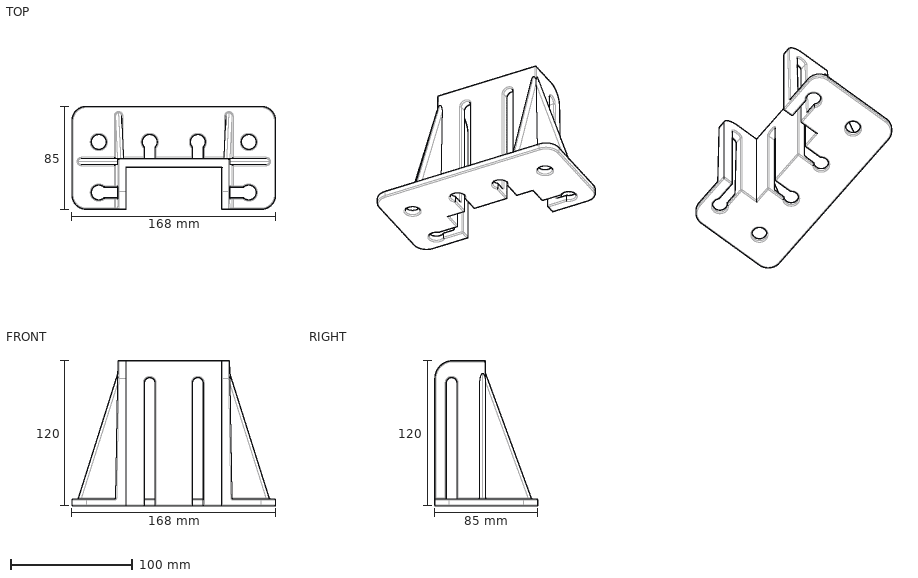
import cadquery as cq
import math

BASE_LENGTH = 168.0
BASE_DEPTH = 85.0
BASE_THICKNESS = 5.9
BASE_CORNER_RADIUS = 12.0

HEIGHT = 120.0
CHANNEL_WIDTH = 78.5
BACK_INNER_Y = 34.6
BACK_OUTER_Y = 42.0
TOP_HALF_WIDTH = 46.0
DRAFT_ANGLE = 1.0
ARM_TOP_RADIUS = 15.0

RIB_THICKNESS = 5.0
RIB_TOP_Z = 109.4
RIB_OVERLAP = 2.5
SIDE_RIB_FOOT_X = 79.0
REAR_RIB_FOOT_Y = 80.0
RIB_ROUND_SHARE = 0.499
RIB_ROUND_RADIUS = RIB_ROUND_SHARE * RIB_THICKNESS

HOLE_RADIUS = 6.0
SLOT_WIDTH = 8.5
SLOT_TOP_Z = 105.8
BACK_HOLE_X = 19.8
SIDE_HOLE_X = 61.8
FRONT_HOLE_Y = 14.0
REAR_HOLE_Y = 55.6

EDGE_RADIUS = 1.0
TOLERANCE = 0.02

CHANNEL_HALF_WIDTH = CHANNEL_WIDTH / 2
MIRROR_SIDES = (-1, 1)


def outer_half_width(z):
    """Half width of the drafted upright at height z."""
    return TOP_HALF_WIDTH + (HEIGHT - z) * math.tan(math.radians(DRAFT_ANGLE))


def make_base():
    plate = cq.Workplane("XY").rect(BASE_LENGTH, BASE_DEPTH).extrude(BASE_THICKNESS)
    plate = plate.translate((0, BASE_DEPTH / 2, 0))
    return plate.edges("|Z").fillet(BASE_CORNER_RADIUS)


def make_upright():
    """Solid drafted block with rounded front top corners and softened rear edges."""
    foot_half_width = outer_half_width(0)
    block = (
        cq.Workplane("XZ")
        .moveTo(-foot_half_width, 0)
        .lineTo(foot_half_width, 0)
        .lineTo(TOP_HALF_WIDTH, HEIGHT)
        .lineTo(-TOP_HALF_WIDTH, HEIGHT)
        .close()
        .extrude(-BACK_OUTER_Y)
    )
    block = block.edges("|X and <Y and >Z").fillet(ARM_TOP_RADIUS)
    return block.faces(">Y").edges("not <Z").fillet(EDGE_RADIUS)


def make_rib(foot, wall):
    """Rib in the XZ plane, sloping from x = foot at the base top to x = wall at RIB_TOP_Z."""
    run_per_height = (foot - wall) / (RIB_TOP_Z - BASE_THICKNESS)
    root = wall - RIB_OVERLAP
    rib = (
        cq.Workplane("XZ")
        .moveTo(root, 0)
        .lineTo(foot + run_per_height * BASE_THICKNESS, 0)
        .lineTo(root, RIB_TOP_Z + RIB_OVERLAP / run_per_height)
        .close()
        .extrude(-RIB_THICKNESS)
    )
    sloping_face = rib.faces("not(|X or |Y or |Z)")
    return sloping_face.edges("not |Y").fillet(RIB_ROUND_RADIUS)


def make_side_rib():
    """Rib on the +X side, flush with the rear of the back wall."""
    rib = make_rib(SIDE_RIB_FOOT_X, outer_half_width(RIB_TOP_Z))
    return rib.translate((0, BACK_OUTER_Y - RIB_THICKNESS, 0))


def make_rear_rib():
    """Rib behind the back wall, leaning so that it stays flush with the +X drafted side."""
    foot_half_width = outer_half_width(0)
    rib = make_rib(REAR_RIB_FOOT_Y, BACK_OUTER_Y)
    rib = rib.rotate((0, 0, 0), (0, 0, 1), 90).translate((foot_half_width, 0, 0))
    return rib.rotate((foot_half_width, 0, 0), (foot_half_width, 1, 0), -DRAFT_ANGLE)


def add_ribs(body):
    for rib in (make_side_rib(), make_rear_rib()):
        body = body.union(rib).union(rib.mirror("YZ"))
    above_ground = cq.Workplane("XY").box(
        2 * BASE_LENGTH, 2 * BASE_LENGTH, 2 * HEIGHT, centered=(True, True, False)
    )
    return body.intersect(above_ground)


def cut_channel(body):
    channel = cq.Workplane("XY").rect(CHANNEL_WIDTH, 2 * BACK_INNER_Y).extrude(HEIGHT)
    return body.cut(channel)


def make_keyhole(length):
    """Cutter along +Y: a tall slot through wall and base, ending in a round hole at y = length."""
    half_width = SLOT_WIDTH / 2
    arc_start_z = SLOT_TOP_Z - half_width
    wall_slot = (
        cq.Workplane("XZ")
        .moveTo(-half_width, 0)
        .lineTo(half_width, 0)
        .lineTo(half_width, arc_start_z)
        .threePointArc((0, SLOT_TOP_Z), (-half_width, arc_start_z))
        .close()
        .extrude(-length)
    )
    base_hole = cq.Workplane("XY").center(0, length).circle(HOLE_RADIUS).extrude(BASE_THICKNESS)
    return wall_slot.union(base_hole)


def cut_holes(body):
    for side in MIRROR_SIDES:
        back_keyhole = make_keyhole(REAR_HOLE_Y - BACK_INNER_Y)
        body = body.cut(back_keyhole.translate((side * BACK_HOLE_X, BACK_INNER_Y, 0)))

        side_keyhole = make_keyhole(SIDE_HOLE_X - CHANNEL_HALF_WIDTH)
        side_keyhole = side_keyhole.rotate((0, 0, 0), (0, 0, 1), -90 * side)
        body = body.cut(side_keyhole.translate((side * CHANNEL_HALF_WIDTH, FRONT_HOLE_Y, 0)))

        round_hole = cq.Workplane("XY").circle(HOLE_RADIUS).extrude(BASE_THICKNESS)
        body = body.cut(round_hole.translate((side * SIDE_HOLE_X, REAR_HOLE_Y, 0)))
    return body


def is_on_base_top(center):
    return abs(center.z - BASE_THICKNESS) < TOLERANCE


def is_slot_edge(center):
    """Edges of the wall slots, on both faces of the back wall and of the two arms."""
    if center.z < TOLERANCE or is_on_base_top(center):
        return False
    reach = SLOT_WIDTH / 2 + TOLERANCE
    x = abs(center.x)
    on_back_wall = min(abs(center.y - BACK_INNER_Y), abs(center.y - BACK_OUTER_Y)) < TOLERANCE
    on_arm = min(abs(x - CHANNEL_HALF_WIDTH), abs(x - outer_half_width(center.z))) < TOLERANCE
    in_back_slot = on_back_wall and abs(x - BACK_HOLE_X) < reach
    in_arm_slot = on_arm and abs(center.y - FRONT_HOLE_Y) < reach
    return in_back_slot or in_arm_slot


def is_arm_rim(center):
    """Front and top edges of the arms: both outer rims, and the inner rim of the +X arm only."""
    on_outer_side = abs(abs(center.x) - outer_half_width(center.z)) < TOLERANCE
    on_right_inner_side = abs(center.x - CHANNEL_HALF_WIDTH) < TOLERANCE
    on_front = abs(center.y) < TOLERANCE and center.z > BASE_THICKNESS
    on_top = abs(center.z - HEIGHT) < TOLERANCE
    on_corner = center.y < ARM_TOP_RADIUS and center.z > HEIGHT - ARM_TOP_RADIUS
    return (on_outer_side or on_right_inner_side) and (on_front or on_top or on_corner)


def soften_edges(body):
    softened = [
        edge
        for edge in body.edges().vals()
        if is_on_base_top(edge.Center()) or is_slot_edge(edge.Center()) or is_arm_rim(edge.Center())
    ]
    body = body.newObject(softened).fillet(EDGE_RADIUS)
    return body.faces("<Z").edges().fillet(EDGE_RADIUS)


bracket = make_base().union(make_upright())
bracket = add_ribs(bracket)
bracket = cut_channel(bracket)
bracket = cut_holes(bracket)
result = soften_edges(bracket)